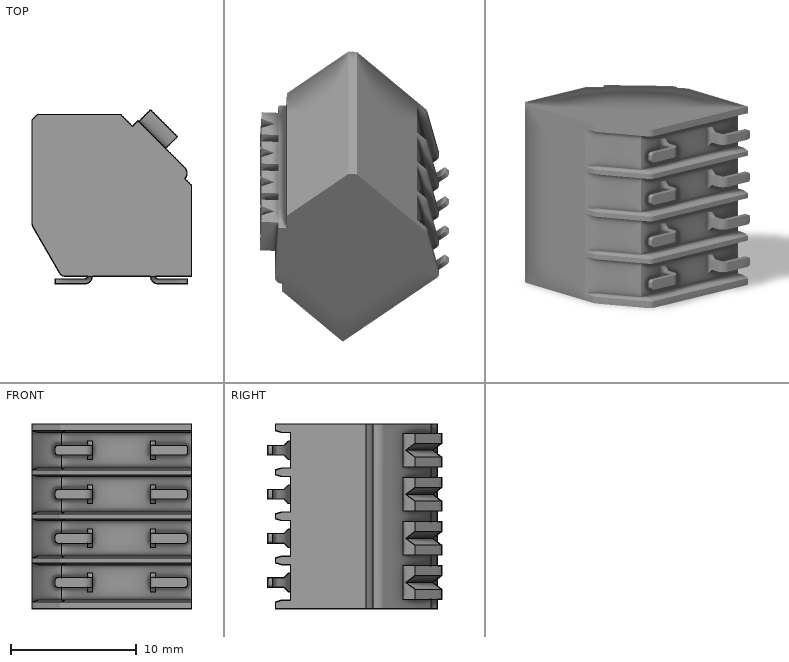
import cadquery as cq
import math

width = 12.7
depth = 12.86
height = 14.7
pole_count = 4
pole_pitch = 3.5
pole_heights = [height / 2 + (i - (pole_count - 1) / 2) * pole_pitch for i in range(pole_count)]

back_chamfer = 0.47
slope_leg = 5.66
bevel_rise = 4.07
bevel_run = bevel_rise / math.tan(math.radians(60))
side_fillet = 0.91
front_fillet = 0.5

pad_start = 1.34
pad_end = 7.23
pad_height = 0.62

button_start = 1.44
button_length = 3.01
button_height = 1.32
button_width = 2.68
notch_width = 1.09
notch_depth = 1.03

pocket_depth = 1.2
pocket_height = 2.81
fin_chamfer_rise = 0.15
fin_chamfer_run = 0.5

pair_center = 7.11
leg_near = 2.31
foot_tip = 5.26
strip = 0.4
bend_radius = 0.6
terminal_width = 0.78
shoulder_width = 1.48
shoulder_straight = 0.16
foot_fillet = 0.25

overrun = 2.94

slope_plane = cq.Plane(origin=(width - slope_leg, depth, 0), xDir=(1, -1, 0), normal=(0, 0, 1))


def beveled_block(right, back, front, block_height):
    """Block standing on z = 0 with its front left corner beveled, its front face at y = front."""
    return (
        cq.Workplane("XY")
        .moveTo(0, back)
        .lineTo(0, front + bevel_rise)
        .lineTo(bevel_run, front)
        .lineTo(right, front)
        .lineTo(right, back)
        .close()
        .extrude(block_height)
    )


def rounded_block(right, back, block_height):
    """Beveled block with its front at y = 0 and both ends of the bevel rounded."""
    block = beveled_block(right, back, 0, block_height)
    bevel_back_edge = cq.NearestToPointSelector((0, bevel_rise, block_height / 2))
    block = block.edges(bevel_back_edge).fillet(side_fillet)
    bevel_front_edge = cq.NearestToPointSelector((bevel_run, 0, block_height / 2))
    return block.edges(bevel_front_edge).fillet(front_fillet)


def make_housing():
    """Full-height housing with its 45 degree face and the pad on it."""
    housing = rounded_block(width, depth, height)
    housing = housing.edges("|Z and <X and >Y").chamfer(back_chamfer)
    housing = housing.edges("|Z and >X and >Y").chamfer(slope_leg)
    pad = (
        cq.Workplane(slope_plane)
        .moveTo(pad_start, -pad_height)
        .lineTo(pad_start, pad_height)
        .lineTo(pad_end - pad_height, pad_height)
        .radiusArc((pad_end, 0), pad_height)
        .lineTo(pad_end, -pad_height)
        .close()
        .extrude(height)
    )
    return housing.union(pad)


def make_pocket():
    """Cutter for one front pocket, centred on z = 0, whose mouth flares over the fin chamfers."""
    mouth_height = pocket_height + 2 * fin_chamfer_rise
    right = width + overrun
    slab = cq.Workplane("XY").box(right, depth, mouth_height, centered=(False, False, True))
    core = beveled_block(right, depth + overrun, pocket_depth, mouth_height)
    core = core.translate((0, 0, -mouth_height / 2))

    fin_taper = math.degrees(math.atan(fin_chamfer_run / fin_chamfer_rise))
    fin_blank = rounded_block(right + overrun, depth + overrun, fin_chamfer_rise)
    lower_layer = (
        fin_blank.faces("<Z")
        .wires()
        .toPending()
        .workplane(invert=True)
        .extrude(fin_chamfer_rise, taper=fin_taper, combine=False)
        .translate((0, 0, -mouth_height / 2))
    )
    upper_layer = lower_layer.mirror("XY")
    return slab.cut(core).cut(lower_layer).cut(upper_layer)


def make_button():
    """Push button on the pad, centred on z = 0, with a V notch along its outer face."""
    top = pad_height + button_height
    button = (
        cq.Workplane(slope_plane)
        .moveTo(button_start, 0)
        .lineTo(button_start, top)
        .lineTo(button_start + button_length, top)
        .lineTo(button_start + button_length, 0)
        .close()
        .extrude(button_width / 2, both=True)
    )
    notch_plane = cq.Plane(
        origin=slope_plane.toWorldCoords((button_start, top, 0)),
        xDir=(0, 0, 1),
        normal=slope_plane.xDir,
    )
    notch = (
        cq.Workplane(notch_plane)
        .moveTo(-notch_width / 2, 0)
        .lineTo(notch_width / 2, 0)
        .lineTo(0, notch_depth)
        .close()
        .extrude(button_length)
    )
    return button.cut(notch)


def make_terminal():
    """Right-hand terminal about x = 0, z = 0: shouldered leg, bend and foot."""
    leg_far = leg_near + strip
    bend_end = leg_near + bend_radius
    inner_radius = bend_radius - strip
    strip_body = (
        cq.Workplane("XY")
        .moveTo(leg_near, pocket_depth)
        .lineTo(leg_near, 0)
        .radiusArc((bend_end, -bend_radius), -bend_radius)
        .lineTo(foot_tip, -bend_radius)
        .lineTo(foot_tip, -inner_radius)
        .lineTo(bend_end, -inner_radius)
        .radiusArc((leg_far, 0), inner_radius)
        .lineTo(leg_far, pocket_depth)
        .close()
        .extrude(terminal_width / 2, both=True)
        .edges("|Y and >X")
        .fillet(foot_fillet)
    )
    shoulder_end = pocket_depth - shoulder_straight
    taper_end = shoulder_end - (shoulder_width - terminal_width) / 2
    shoulder = (
        cq.Workplane("YZ", origin=(leg_near, 0, 0))
        .moveTo(pocket_depth, shoulder_width / 2)
        .lineTo(shoulder_end, shoulder_width / 2)
        .lineTo(taper_end, terminal_width / 2)
        .lineTo(taper_end, -terminal_width / 2)
        .lineTo(shoulder_end, -shoulder_width / 2)
        .lineTo(pocket_depth, -shoulder_width / 2)
        .close()
        .extrude(strip)
    )
    return strip_body.union(shoulder)


pocket = make_pocket()
button = make_button()
right_terminal = make_terminal()
left_terminal = right_terminal.mirror("YZ")

result = make_housing()
for z in pole_heights:
    result = result.cut(pocket.translate((0, 0, z)))
    result = result.union(button.translate((0, 0, z)))
    for terminal in (left_terminal, right_terminal):
        result = result.union(terminal.translate((pair_center, 0, z)))